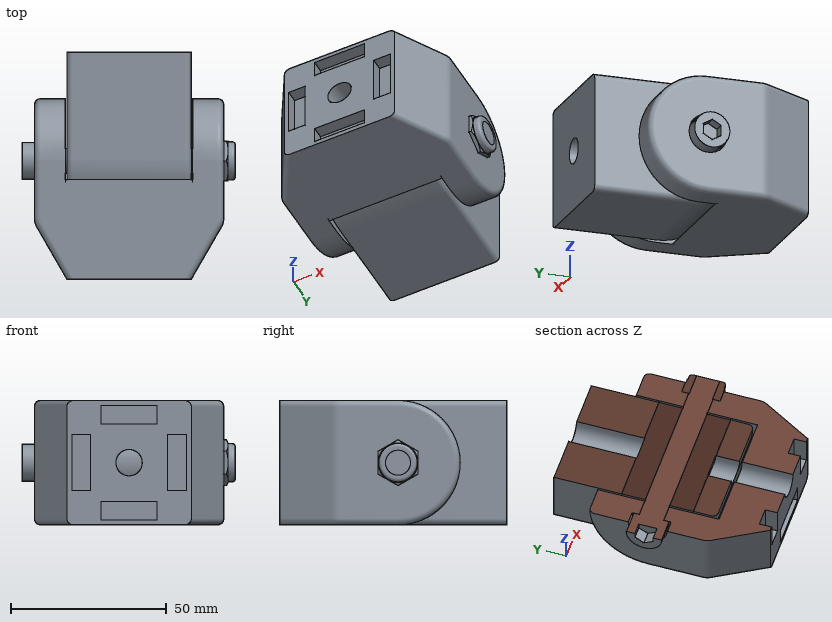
import cadquery as cq
import math


thickness = 40.0
end_radius = thickness / 2
edge_fillet = 2.0
hinge_length = 73.0
tongue_reach = 35.0
clevis_reach = hinge_length - tongue_reach
tongue_width = thickness
side_gap = 0.45
slot_width = tongue_width + 2 * side_gap
cheek_thickness = 10.0
clevis_width = slot_width + 2 * cheek_thickness
slot_radius = 20.9
taper_angle = 60.0
taper_length = (clevis_width - tongue_width) / 2 * math.tan(math.radians(taper_angle))
bend_radius = 5.05

pocket_length = 18.0
pocket_width = 6.0
pocket_depth = 4.1
pocket_offset = 15.4
mount_hole_diameter = 8.5

overall_width = 68.55
bolt_diameter = 8.0
head_diameter = 12.0
head_protrusion = 3.95
head_recess = 4.0
head_recess_diameter = 13.0
socket_flats = 6.0
socket_depth = 4.1
nut_flats = 12.8
nut_recess = 4.0
nut_hex_protrusion = 1.4
nut_chamfer_angle = 30.0
collar_diameter = 12.35
collar_fillet = 1.0
bush_diameter = 24.0

clevis_side = clevis_width / 2
head_end = -clevis_side - head_protrusion
head_seat = -clevis_side + head_recess
nut_seat = clevis_side - nut_recess
nut_hex_end = clevis_side + nut_hex_protrusion
nut_end = head_end + overall_width


def axial_cylinder(start, end, diameter):
    """Cylinder along the hinge axis between two X positions."""
    return cq.Workplane("YZ", origin=(start, 0, 0)).circle(diameter / 2).extrude(end - start)


def axial_hexagon(start, end, flats):
    """Hexagonal prism along the hinge axis, with corners at top and bottom."""
    corner_diameter = flats / math.cos(math.radians(30))
    plane = cq.Plane(origin=(start, 0, 0), xDir=(0, 0, 1), normal=(1, 0, 0))
    return cq.Workplane(plane).polygon(6, corner_diameter).extrude(end - start)


def mount_hole(start, end):
    """Round hole along Y through the middle of the thickness."""
    plane = cq.Workplane("XZ", origin=(0, end, 0))
    return plane.circle(mount_hole_diameter / 2).extrude(end - start)


def rounded_slab(width, reach):
    """Slab across the hinge axis, flat at Y = reach and round about the axis at its other end."""
    tip = -math.copysign(end_radius, reach)
    return (
        cq.Workplane("YZ", origin=(-width / 2, 0, 0))
        .moveTo(reach, -end_radius)
        .lineTo(0, -end_radius)
        .threePointArc((tip, 0), (0, end_radius))
        .lineTo(reach, end_radius)
        .close()
        .extrude(width)
    )


def round_long_edges(body):
    """Fillet the edges round the sides, leaving the flat end face sharp."""
    return body.edges("not (|X or |Z)").fillet(edge_fillet)


def clevis_blank():
    """Clevis body with tapered sides and round cheeks, before any hole is cut."""
    front_half = tongue_width / 2
    bend_y = taper_length - clevis_reach
    plan = (
        cq.Workplane("XY", origin=(0, 0, -end_radius))
        .polyline([
            (-front_half, -clevis_reach),
            (front_half, -clevis_reach),
            (clevis_side, bend_y),
            (clevis_side, end_radius),
            (-clevis_side, end_radius),
            (-clevis_side, bend_y),
        ])
        .close()
        .extrude(thickness)
    )
    bend_zone = cq.selectors.BoxSelector(
        (-clevis_width, bend_y - bend_radius, -thickness),
        (clevis_width, bend_y + bend_radius, thickness),
    )
    plan = plan.edges("|Z").edges(bend_zone).fillet(bend_radius)
    return round_long_edges(plan.intersect(rounded_slab(clevis_width, -clevis_reach)))


def tongue_slot():
    """Space between the cheeks, with a round bottom about the hinge axis."""
    round_end = axial_cylinder(-slot_width / 2, slot_width / 2, 2 * slot_radius)
    opening = cq.Workplane("XY").box(
        slot_width, 2 * end_radius, 2 * slot_radius, centered=(True, False, True)
    )
    return round_end.union(opening)


def mounting_pockets():
    """Four pockets round the mounting hole, one along each side of the flat face."""
    pocket = (
        cq.Workplane("XZ", origin=(0, pocket_depth - clevis_reach, 0))
        .center(0, pocket_offset)
        .rect(pocket_length, pocket_width)
        .extrude(pocket_depth)
    )
    return [pocket.rotate((0, 0, 0), (0, 1, 0), 90 * turn) for turn in range(4)]


def make_clevis():
    clevis = clevis_blank().cut(tongue_slot())
    clevis = clevis.cut(mount_hole(-clevis_reach, 0))
    for pocket in mounting_pockets():
        clevis = clevis.cut(pocket)
    clevis = clevis.cut(axial_cylinder(-clevis_side, clevis_side, bolt_diameter))
    clevis = clevis.cut(axial_cylinder(-clevis_side, head_seat, head_recess_diameter))
    return clevis.cut(axial_hexagon(nut_seat, clevis_side, nut_flats))


def make_tongue():
    tongue = round_long_edges(rounded_slab(tongue_width, tongue_reach))
    tongue = tongue.cut(mount_hole(-end_radius, tongue_reach))
    return tongue.cut(axial_cylinder(-tongue_width / 2, tongue_width / 2, bush_diameter))


def make_bush():
    """Sleeve that lines the bore of the tongue and turns on the bolt."""
    bush = axial_cylinder(-tongue_width / 2, tongue_width / 2, bush_diameter)
    return bush.cut(axial_cylinder(-tongue_width / 2, tongue_width / 2, bolt_diameter))


def make_bolt():
    """Cap screw with a hexagon socket, its shank flush with the outer end of the nut."""
    head = axial_cylinder(head_end, head_seat, head_diameter)
    shank = axial_cylinder(head_seat, nut_end, bolt_diameter)
    socket = axial_hexagon(head_end, head_end + socket_depth, socket_flats)
    return head.union(shank).cut(socket)


def make_nut():
    """Hexagon nut with a chamfered outer end and a round locking collar."""
    hexagon = axial_hexagon(nut_seat, nut_hex_end, nut_flats)
    cone_length = nut_hex_end - nut_seat
    cone_growth = cone_length / math.tan(math.radians(nut_chamfer_angle))
    chamfer_cone = (
        cq.Workplane("XY")
        .polyline([
            (nut_seat, 0),
            (nut_seat, nut_flats / 2 + cone_growth),
            (nut_hex_end, nut_flats / 2),
            (nut_hex_end, 0),
        ])
        .close()
        .revolve(360, (0, 0, 0), (1, 0, 0))
    )
    collar = axial_cylinder(nut_hex_end, nut_end, collar_diameter).faces(">X").edges().fillet(collar_fillet)
    nut = hexagon.intersect(chamfer_cone).union(collar)
    return nut.cut(axial_cylinder(nut_seat, nut_end, bolt_diameter))


clevis = make_clevis()
tongue = make_tongue()
bush = make_bush()
bolt = make_bolt()
nut = make_nut()

bodies = [clevis, tongue, bush, bolt, nut]
result = cq.Compound.makeCompound([body.solids().val() for body in bodies])